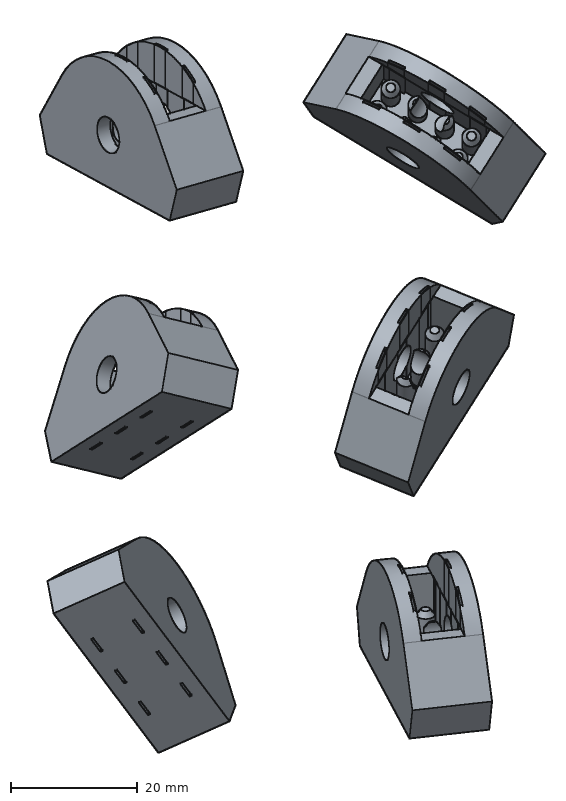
import cadquery as cq

length = 37.0
width = 13.0
height = 21.7
bottom_length = 33.15
widest_z = 6.0
shoulder_z = 15.0
arch_length = 25.0

cheek_thickness = 3.0
gap_width = width - 2 * cheek_thickness
pocket_length = 19.98
pocket_undercut = 0.45
floor_z = 3.0

cross_hole_diameter = 6.0
cross_hole_z = 9.0

pin_diameter = 3.0
pin_tip_diameter = 1.48
pin_taper_z = cross_hole_z
pin_top_z = 10.0
pin_pitch_x = 5.0
pin_pitch_y = 4.0

slot_length = 3.0
slot_thickness = 0.4
slot_skin = 0.1
slot_pitch = 7.5


def make_body():
    """Solid block with an arched top and tapered ends."""
    profile = (
        cq.Workplane("XZ")
        .moveTo(-bottom_length / 2, 0)
        .lineTo(bottom_length / 2, 0)
        .lineTo(length / 2, widest_z)
        .lineTo(arch_length / 2, shoulder_z)
        .threePointArc((0, height), (-arch_length / 2, shoulder_z))
        .lineTo(-length / 2, widest_z)
        .close()
    )
    return profile.extrude(width / 2, both=True)


def make_gap():
    """Gap between the arches, open at both ends above the shoulders."""
    return (
        cq.Workplane("XY", origin=(0, 0, shoulder_z))
        .rect(length, gap_width)
        .extrude(height - shoulder_z)
    )


def make_pocket():
    """Pocket from the shoulder level down to the floor."""
    pocket_width = gap_width + 2 * pocket_undercut
    return (
        cq.Workplane("XY", origin=(0, 0, floor_z))
        .rect(pocket_length, pocket_width)
        .extrude(shoulder_z - floor_z)
    )


def make_cross_hole():
    """Round cutter along Y that passes through both cheeks and the pins."""
    return (
        cq.Workplane("ZX", origin=(0, 0, cross_hole_z))
        .circle(cross_hole_diameter / 2)
        .extrude(width / 2, both=True)
    )


def make_pins():
    """Two rows of four round pins with conical tips, the inner ones notched by the cross hole."""
    pin_profile = (
        cq.Workplane("XZ")
        .lineTo(pin_diameter / 2, 0)
        .lineTo(pin_diameter / 2, pin_taper_z)
        .lineTo(pin_tip_diameter / 2, pin_top_z)
        .lineTo(0, pin_top_z)
        .close()
    )
    cross_hole = make_cross_hole().val()
    pin = pin_profile.revolve(360, (0, 0, 0), (0, 1, 0)).val()
    places = cq.Workplane("XY").rarray(pin_pitch_x, pin_pitch_y, 4, 2)
    return places.eachpoint(lambda place: pin.moved(place).cut(cross_hole), combine=False)


def make_slots():
    """Three slots in each cheek, running the full height of the part."""
    row_spacing = gap_width + 2 * slot_skin + slot_thickness
    return (
        cq.Workplane("XY")
        .rarray(slot_pitch, row_spacing, 3, 2)
        .rect(slot_length, slot_thickness)
        .extrude(height)
    )


result = (
    make_body()
    .cut(make_gap())
    .cut(make_pocket())
    .cut(make_cross_hole())
    .union(make_pins())
    .cut(make_slots())
)